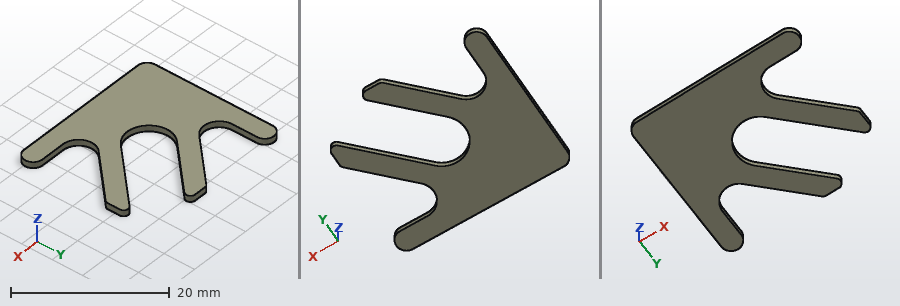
import cadquery as cq
import math

length = 25.4
width = 22.35
thickness = 1.0

arm_width = 3.05
arm_radius = arm_width / 2
corner_radius = 1.52

slot_radius = 3.55
tooth_width = 2.9
tooth_tip_radius = 0.75
notch_radius = 2.55
slot_x = length / 2
slot_y = width / 2

diagonal = math.sqrt(2)
center_rise = slot_y - slot_x
inner_offset = slot_radius * diagonal
outer_offset = (slot_radius + tooth_width) * diagonal
upper_outer_rise = center_rise + outer_offset
upper_inner_rise = center_rise + inner_offset
lower_inner_rise = center_rise - inner_offset
lower_outer_rise = center_rise - outer_offset

outer_corner = (0, 0)
lower_notch = (arm_width - lower_outer_rise, arm_width)
lower_tooth_tips = [
    (length, length + lower_outer_rise),
    (length, length + lower_inner_rise),
]
upper_tooth_tips = [
    (width - upper_inner_rise, width),
    (width - upper_outer_rise, width),
]
upper_notch = (arm_width, arm_width + upper_outer_rise)

slot_step = slot_radius / diagonal
slot_lower = (slot_x + slot_step, slot_y - slot_step)
slot_bottom = (slot_x - slot_step, slot_y - slot_step)
slot_upper = (slot_x - slot_step, slot_y + slot_step)

plate = (
    cq.Workplane("XY")
    .moveTo(*outer_corner)
    .lineTo(length - arm_radius, 0)
    .threePointArc((length, arm_radius), (length - arm_radius, arm_width))
    .lineTo(*lower_notch)
    .lineTo(*lower_tooth_tips[0])
    .lineTo(*lower_tooth_tips[1])
    .lineTo(*slot_lower)
    .threePointArc(slot_bottom, slot_upper)
    .lineTo(*upper_tooth_tips[0])
    .lineTo(*upper_tooth_tips[1])
    .lineTo(*upper_notch)
    .lineTo(arm_width, width - arm_radius)
    .threePointArc((arm_radius, width), (0, width - arm_radius))
    .close()
    .extrude(thickness)
)


def round_corner(body, corner, radius):
    """Fillet the vertical edge standing at an outline corner."""
    edge = cq.selectors.NearestToPointSelector((*corner, thickness / 2))
    return body.edges("|Z").edges(edge).fillet(radius)


plate = round_corner(plate, outer_corner, corner_radius)
for notch in (lower_notch, upper_notch):
    plate = round_corner(plate, notch, notch_radius)
for tip in lower_tooth_tips + upper_tooth_tips:
    plate = round_corner(plate, tip, tooth_tip_radius)

result = plate